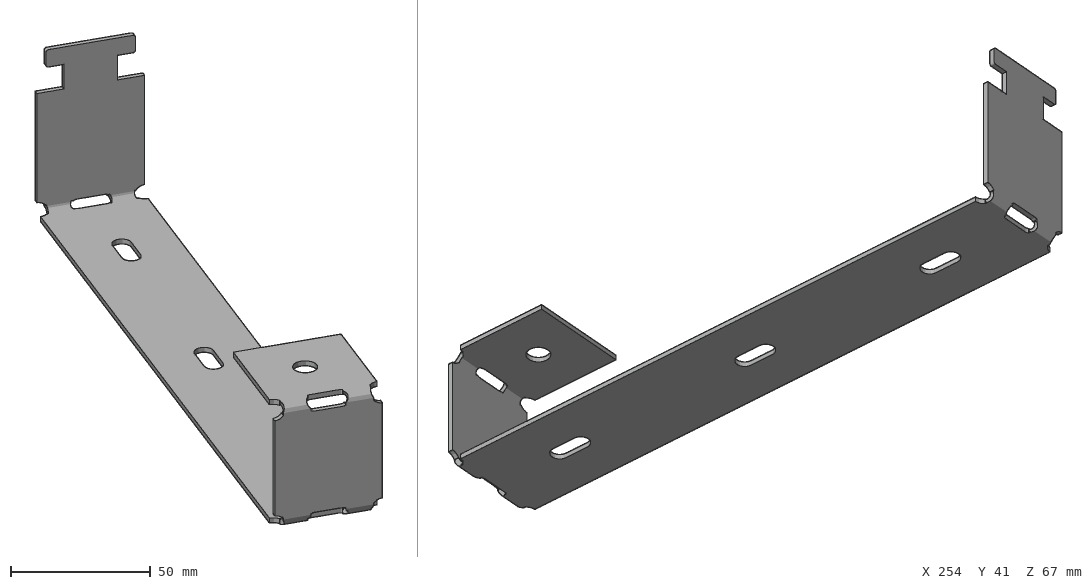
import cadquery as cq
import math

length = 254.0
width = 41.0
total_height = 67.0
thickness = 2.0
outer_bend_radius = 4.0
inner_bend_radius = outer_bend_radius - thickness

shoulder_height = 50.0
neck_width = 20.3
head_bottom = 60.0
head_width = 34.0
head_corner_radius = 1.0

flange_height = 50.0
flange_length = 44.0
flange_hole_diameter = 9.0
flange_hole_from_end = 25.0

base_slot_length = 17.0
base_slot_width = 7.0
base_slot_spacing = 87.1

corner_relief_radius = 4.0
bend_slot_length = 16.0
bend_slot_width = 5.5
slot_end_radius = bend_slot_width / 2
slot_end_spacing = bend_slot_length - bend_slot_width

middle_bend_radius = (inner_bend_radius + outer_bend_radius) / 2
half_unrolled_bend = middle_bend_radius * math.pi / 4
half_bend_chord = middle_bend_radius * math.sin(math.pi / 4)


def edge_half_width(flat_radius):
    """Half width of a round relief where it crosses the edge between panel and bend."""
    return math.sqrt(flat_radius**2 - half_unrolled_bend**2)


def folded_radius(flat_radius):
    """Radius of the matching cutter through the bend, equally wide at the panel edge."""
    return math.hypot(edge_half_width(flat_radius), half_bend_chord)


def relief_cutter(corner_radius, slot_length, slot_width):
    """Upright cutter at the origin for one bend that runs along Y."""
    depth = 2 * outer_bend_radius
    corners = (
        cq.Workplane("XY")
        .pushPoints([(0, -width / 2), (0, width / 2)])
        .circle(corner_radius)
        .extrude(depth, both=True)
    )
    slot = cq.Workplane("XY").slot2D(slot_length, slot_width, 90).extrude(depth, both=True)
    return corners.union(slot)


def flat_panel(panel_length, bend_at_start, bend_at_end):
    """Flat panel on XY from X = 0, with relief bites at the ends that join a bend."""
    panel = cq.Workplane("XY").box(panel_length, width, thickness, centered=(False, True, False))
    cutter = relief_cutter(corner_relief_radius, bend_slot_length, bend_slot_width)
    if bend_at_start:
        panel = panel.cut(cutter.translate((-half_unrolled_bend, 0, 0)))
    if bend_at_end:
        panel = panel.cut(cutter.translate((panel_length + half_unrolled_bend, 0, 0)))
    return panel


def bend(start_angle):
    """Quarter bend about the Y axis, from start_angle to start_angle + 90 degrees in XZ.

    The relief edges in the bend line up with those of the panels at both ends of the bend.
    """
    def at(radius, angle):
        return (radius * math.cos(math.radians(angle)), radius * math.sin(math.radians(angle)))

    middle_angle = start_angle + 45
    end_angle = start_angle + 90
    ring = (
        cq.Workplane("XZ")
        .moveTo(*at(inner_bend_radius, start_angle))
        .lineTo(*at(outer_bend_radius, start_angle))
        .threePointArc(at(outer_bend_radius, middle_angle), at(outer_bend_radius, end_angle))
        .lineTo(*at(inner_bend_radius, end_angle))
        .threePointArc(at(inner_bend_radius, middle_angle), at(inner_bend_radius, start_angle))
        .close()
        .extrude(width / 2, both=True)
    )

    folded_slot_radius = folded_radius(slot_end_radius)
    cutter = relief_cutter(
        folded_radius(corner_relief_radius),
        slot_end_spacing + 2 * folded_slot_radius,
        2 * folded_slot_radius,
    )
    slot_opening = slot_end_spacing + 2 * edge_half_width(slot_end_radius)
    corner_opening = 2 * edge_half_width(corner_relief_radius)
    for y, opening in ((-width / 2, corner_opening), (0, slot_opening), (width / 2, corner_opening)):
        block = cq.Workplane("XY").box(2 * outer_bend_radius, opening, 4 * outer_bend_radius)
        cutter = cutter.union(block.translate((0, y, 0)))
    return ring.cut(cutter.rotate((0, 0, 0), (0, 1, 0), 90 - middle_angle))


def stand_up(panel):
    """Turn a flat panel upright: its length runs up Z and its underside faces +X."""
    return panel.rotate((0, 0, 0), (0, 1, 0), -90).translate((thickness, 0, 0))


def base():
    panel = flat_panel(length - 2 * outer_bend_radius, True, True)
    panel = panel.translate((outer_bend_radius, 0, 0))
    slots = (
        cq.Workplane("XY")
        .center(length / 2, 0)
        .rarray(base_slot_spacing, 2.5, 3, 1)
        .slot2D(base_slot_length, base_slot_width)
        .extrude(thickness)
    )
    return panel.cut(slots)


def head_upright():
    upright = stand_up(flat_panel(shoulder_height - outer_bend_radius, True, False))
    upright = upright.translate((0, 0, outer_bend_radius))
    neck = (
        cq.Workplane("XY", origin=(0, 0, shoulder_height))
        .box(thickness, neck_width, head_bottom - shoulder_height, centered=(False, True, False))
    )
    head = (
        cq.Workplane("XY", origin=(0, 0, head_bottom))
        .box(thickness, head_width, total_height - head_bottom, centered=(False, True, False))
        .edges("|X")
        .fillet(head_corner_radius)
    )
    return upright.union(neck).union(head)


def flange_upright():
    upright = stand_up(flat_panel(flange_height - 2 * outer_bend_radius, True, True))
    return upright.translate((length - thickness, 0, outer_bend_radius))


def return_flange():
    panel = flat_panel(flange_length - outer_bend_radius, False, True)
    panel = panel.translate((length - flange_length, 0, flange_height - thickness))
    hole = (
        cq.Workplane("XY", origin=(length - flange_hole_from_end, 0, flange_height - thickness))
        .circle(flange_hole_diameter / 2)
        .extrude(thickness)
    )
    return panel.cut(hole)


far_bend_x = length - outer_bend_radius
result = (
    base()
    .union(bend(180).translate((outer_bend_radius, 0, outer_bend_radius)))
    .union(head_upright())
    .union(bend(270).translate((far_bend_x, 0, outer_bend_radius)))
    .union(flange_upright())
    .union(bend(0).translate((far_bend_x, 0, flange_height - outer_bend_radius)))
    .union(return_flange())
)